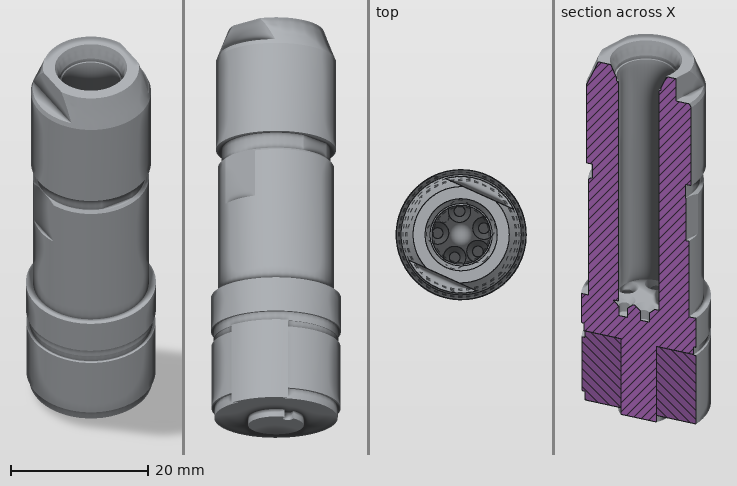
import cadquery as cq
import math

STEM_TIP_Z = 0
NUT_BOTTOM_Z = 1.15
NUT_BODY_BOTTOM_Z = 2.65
NUT_BODY_TOP_Z = 12.1
NUT_TOP_Z = 13.1
COLLAR_BOTTOM_Z = 14.45
COLLAR_TOP_Z = 19.6
BARREL_TOP_Z = 40.05
CAP_BOTTOM_Z = 42.4
CAP_CONE_Z = 55.95
TOP_Z = 60.5

STEM_R = 4.05
NUT_END_R = 9.0
NUT_BODY_R = 9.45
SHOULDER_R = 9.15
COLLAR_R = 9.5
BARREL_R = 8.5
NECK_R = 7.9
CAP_R = 8.8
CAP_TOP_R = 7.0
BARREL_CHAMFER = 0.35

CAP_FLAT_ANGLE = 65.7
NECK_FLAT_ANGLE = CAP_FLAT_ANGLE + 90
CAP_FLAT_OFFSET = 6.55
CAP_FLAT_BOTTOM_Z = 56.6
NECK_FLAT_OFFSET = 7.5
BARREL_FLAT_OFFSET = 8.0
BARREL_FLAT_BOTTOM_Z = 32.75

BORE_R = 4.3
BORE_STEP_R = 4.55
BORE_MOUTH_R = 5.25
BORE_TAPER_DEPTH = 2.1
BORE_STEP_DEPTH = 0.55
BORE_FLOOR_Z = COLLAR_TOP_Z

KEY_ANGLE = 135
CONTACT_OFFSETS = (-119, -41, 41, 119, 180)
CONTACT_CIRCLE_R = 3.45
CONTACT_R = 0.8
FUNNEL_R = 1.65
FUNNEL_DEPTH = FUNNEL_R - CONTACT_R
CONTACT_DEPTH = 2.4

KEYWAY_R = 0.7
KEYWAY_WALL = 0.5

RIB_R = COLLAR_R
RIB_Y = 8.5


def revolve(points):
    """Turn a half profile of (radius, z) points about the Z axis."""
    return cq.Workplane("XZ").polyline(points).close().revolve(360, (0, 0), (0, 1))


def flat_pair(offset, angle, bottom, top):
    """Two opposite cutters that leave flats at the given distance from the axis."""
    cutters = cq.Workplane("XY")
    for direction in (angle, angle + 180):
        cutter = (
            cq.Workplane("XY", origin=(0, 0, bottom))
            .rect(COLLAR_R, 2 * COLLAR_R)
            .extrude(top - bottom)
            .translate((offset + COLLAR_R / 2, 0, 0))
            .rotate((0, 0, 0), (0, 0, 1), direction)
        )
        cutters = cutters.add(cutter)
    return cutters.combine()


def housing_blank():
    """Stem, shoulder, collar, barrel, neck and conical cap as one turned shape."""
    return revolve([
        (0, STEM_TIP_Z),
        (STEM_R, STEM_TIP_Z),
        (STEM_R, NUT_TOP_Z),
        (SHOULDER_R, NUT_TOP_Z),
        (SHOULDER_R, COLLAR_BOTTOM_Z),
        (COLLAR_R, COLLAR_BOTTOM_Z),
        (COLLAR_R, COLLAR_TOP_Z),
        (BARREL_R, COLLAR_TOP_Z),
        (BARREL_R, BARREL_TOP_Z - BARREL_CHAMFER),
        (BARREL_R - BARREL_CHAMFER, BARREL_TOP_Z),
        (NECK_R, BARREL_TOP_Z),
        (NECK_R, CAP_BOTTOM_Z),
        (CAP_R, CAP_BOTTOM_Z),
        (CAP_R, CAP_CONE_Z),
        (CAP_TOP_R, TOP_Z),
        (0, TOP_Z),
    ])


def cable_bore():
    """Tapered mouth, short counterbore and the long bore below it."""
    taper_end_z = TOP_Z - BORE_TAPER_DEPTH
    ledge_z = taper_end_z - BORE_STEP_DEPTH
    return revolve([
        (0, BORE_FLOOR_Z),
        (BORE_R, BORE_FLOOR_Z),
        (BORE_R, ledge_z),
        (BORE_STEP_R, ledge_z),
        (BORE_STEP_R, taper_end_z),
        (BORE_MOUTH_R, TOP_Z),
        (0, TOP_Z),
    ])


def contact_hole(angle):
    """Blind contact hole with a conical lead-in."""
    hole = revolve([
        (0, BORE_FLOOR_Z - CONTACT_DEPTH),
        (CONTACT_R, BORE_FLOOR_Z - CONTACT_DEPTH),
        (CONTACT_R, BORE_FLOOR_Z - FUNNEL_DEPTH),
        (FUNNEL_R, BORE_FLOOR_Z),
        (0, BORE_FLOOR_Z),
    ])
    x = CONTACT_CIRCLE_R * math.cos(math.radians(angle))
    y = CONTACT_CIRCLE_R * math.sin(math.radians(angle))
    return hole.translate((x, y, 0))


def keyway():
    """U-shaped groove along the part of the stem that stands out below the nut."""
    bottom_center_x = STEM_R - KEYWAY_WALL
    return (
        cq.Workplane("XY", origin=(0, 0, STEM_TIP_Z))
        .moveTo(STEM_R, KEYWAY_R)
        .lineTo(bottom_center_x, KEYWAY_R)
        .threePointArc((bottom_center_x - KEYWAY_R, 0), (bottom_center_x, -KEYWAY_R))
        .lineTo(STEM_R, -KEYWAY_R)
        .close()
        .extrude(NUT_BOTTOM_Z - STEM_TIP_Z)
        .rotate((0, 0, 0), (0, 0, 1), KEY_ANGLE)
    )


def make_housing():
    housing = housing_blank()
    housing = housing.cut(flat_pair(CAP_FLAT_OFFSET, CAP_FLAT_ANGLE, CAP_FLAT_BOTTOM_Z, TOP_Z))
    housing = housing.cut(flat_pair(NECK_FLAT_OFFSET, NECK_FLAT_ANGLE, BARREL_TOP_Z, CAP_BOTTOM_Z))
    housing = housing.cut(flat_pair(BARREL_FLAT_OFFSET, CAP_FLAT_ANGLE, BARREL_FLAT_BOTTOM_Z, BARREL_TOP_Z))
    housing = housing.cut(cable_bore())
    for offset in CONTACT_OFFSETS:
        housing = housing.cut(contact_hole(KEY_ANGLE + offset))
    return housing.cut(keyway())


def nut_rib():
    """Full-height rib on the nut, a segment of a cylinder beyond the plane y = RIB_Y."""
    height = NUT_TOP_Z - NUT_BOTTOM_Z
    base = cq.Workplane("XY", origin=(0, 0, NUT_BOTTOM_Z))
    beyond_plane = base.center(0, RIB_Y + RIB_R / 2).rect(2 * RIB_R, RIB_R).extrude(height)
    return base.circle(RIB_R).extrude(height).intersect(beyond_plane)


def make_nut():
    """Coupling nut around the stem, with reduced ends and one rib."""
    nut = revolve([
        (0, NUT_BOTTOM_Z),
        (NUT_END_R, NUT_BOTTOM_Z),
        (NUT_END_R, NUT_BODY_BOTTOM_Z),
        (NUT_BODY_R, NUT_BODY_BOTTOM_Z),
        (NUT_BODY_R, NUT_BODY_TOP_Z),
        (NUT_END_R, NUT_BODY_TOP_Z),
        (NUT_END_R, NUT_TOP_Z),
        (0, NUT_TOP_Z),
    ])
    stem_hole = cq.Workplane("XY").circle(STEM_R).extrude(NUT_TOP_Z)
    return nut.union(nut_rib()).cut(stem_hole)


housing = make_housing()
nut = make_nut()

result = cq.Compound.makeCompound([housing.val(), nut.val()])